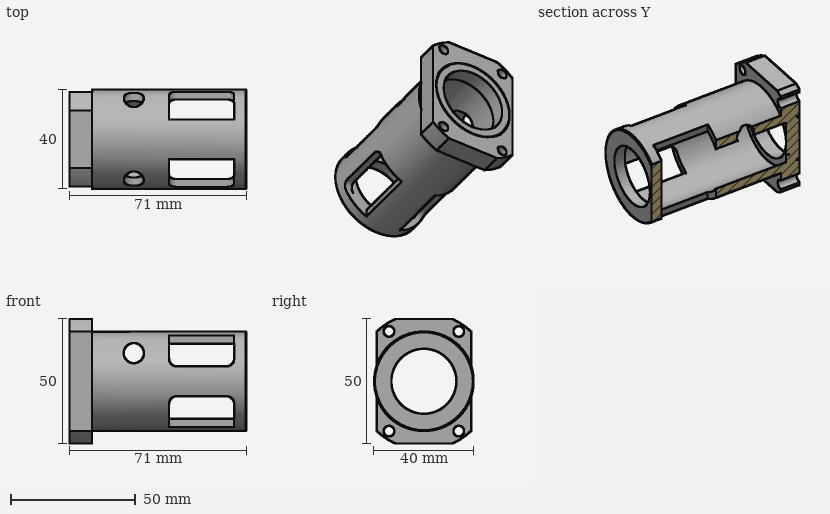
import cadquery as cq

length = 71.0
body_dia = 40.0

flange_thickness = 9.1
flange_width = 38.0
flange_height = 50.0
flange_round_dia = 55.0
bolt_hole_dia = 4.2
bolt_spacing_y = 28.0
bolt_spacing_z = 40.0

entry_bore_dia = 28.0
entry_bore_depth = 6.5
main_bore_dia = 34.0
end_bore_dia = 26.0
end_chamfer = 0.35

groove_outer_dia = 35.2
groove_width = 0.2
groove_depth = 1.0

cross_hole_dia = 8.0
cross_hole_x = 25.85
cross_hole_z = 11.3

window_start = 40.05
window_length = 26.0
window_inner_y = 8.0
window_inner_z = 6.0
window_corner_radius = 3.0

end_lip_thickness = length - window_start - window_length


def cylinder_x(diameter, start, depth):
    """Solid cylinder along the sleeve axis, starting at X = start."""
    return cq.Workplane("YZ", origin=(start, 0, 0)).circle(diameter / 2).extrude(depth)


def make_flange():
    """Rectangular flange whose four corners follow one large circle."""
    plate = cq.Workplane("YZ").rect(flange_width, flange_height).extrude(flange_thickness)
    plate = plate.intersect(cylinder_x(flange_round_dia, 0, flange_thickness))
    bolt_holes = (
        cq.Workplane("YZ")
        .rect(bolt_spacing_y, bolt_spacing_z, forConstruction=True)
        .vertices()
        .circle(bolt_hole_dia / 2)
        .extrude(flange_thickness)
    )
    return plate.cut(bolt_holes)


def make_groove():
    """Narrow ring groove in the flange face."""
    core = cylinder_x(groove_outer_dia - 2 * groove_width, 0, groove_depth)
    return cylinder_x(groove_outer_dia, 0, groove_depth).cut(core)


def make_window(side_y, side_z):
    """Window cutter for one quadrant, rounded only at the corners nearest Z = 0."""
    cutter = (
        cq.Workplane("XY")
        .box(window_length, body_dia, body_dia, centered=False)
        .edges("|Y and <Z")
        .fillet(window_corner_radius)
        .translate((window_start, window_inner_y, window_inner_z))
    )
    if side_y < 0:
        cutter = cutter.mirror("XZ")
    if side_z < 0:
        cutter = cutter.mirror("XY")
    return cutter


body = cylinder_x(body_dia, 0, length).faces(">X").chamfer(end_chamfer)
body = body.intersect(cylinder_x(body_dia, flange_thickness, length))
result = body.union(make_flange())

main_bore_length = length - end_lip_thickness - entry_bore_depth
result = result.cut(cylinder_x(entry_bore_dia, 0, entry_bore_depth))
result = result.cut(cylinder_x(main_bore_dia, entry_bore_depth, main_bore_length))
result = result.cut(cylinder_x(end_bore_dia, 0, length))
result = result.cut(make_groove())

cross_hole = (
    cq.Workplane("XZ", origin=(cross_hole_x, 0, cross_hole_z))
    .circle(cross_hole_dia / 2)
    .extrude(body_dia / 2, both=True)
)
result = result.cut(cross_hole)

for side_y in (-1, 1):
    for side_z in (-1, 1):
        result = result.cut(make_window(side_y, side_z))